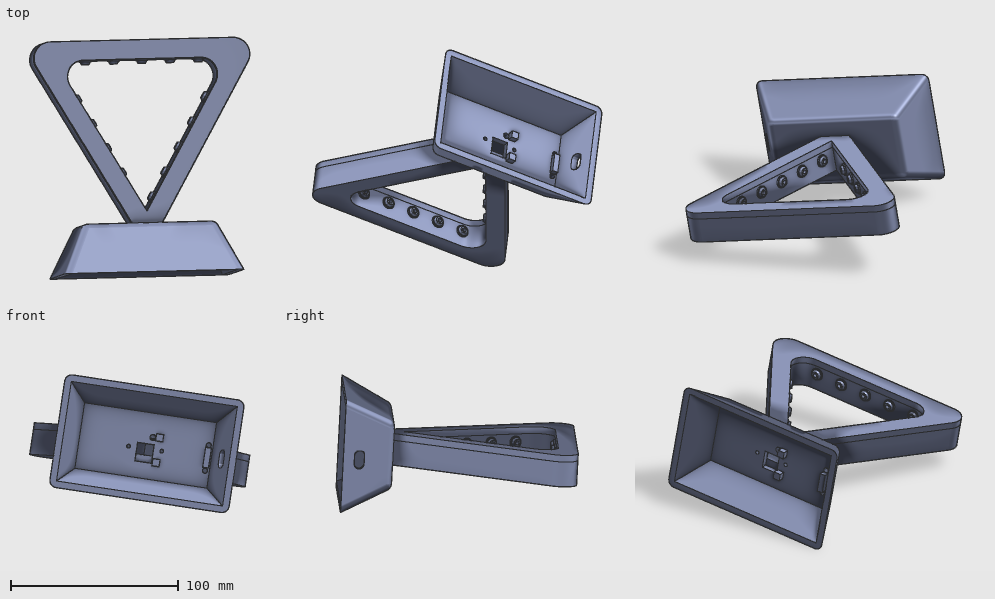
import cadquery as cq
import math


TILT_X = -2.742
TILT_Y = 8.569
TILT_Z = 1.451

RIM_LENGTH = 108.0
RIM_HEIGHT = 68.0
RIM_WIDTH = 4.0
BASE_DEPTH = 30.0
CAVITY_DEPTH = 22.0
WALL_TAPER = 25.0
BASE_FILLET = 5.0
FLOOR_THICKNESS = BASE_DEPTH - CAVITY_DEPTH

FITTING_Z = -1.85
PEG_SIZE = 4.3
PEG_HEIGHT = 4.0
PEG_X = 7.5
PEG_OFFSET_Z = 7.5
PILOT_DIAMETER = 2.2
PILOT_X = 10.0
BAR_X = 37.15
BAR_WIDTH = 3.5
BAR_LENGTH = 12.0
BAR_HEIGHT = 3.3
BAR_HOLE_DIAMETER = 3.0
BAR_HOLE_OFFSET_Z = 7.65
BLIND_HOLE_DEPTH = 4.0
ROOT_OVERLAP = 1.0
WINDOW_WIDTH = 10.0
WINDOW_BOTTOM_Z = -9.9
WINDOW_TOP_Z = 1.2
WIRE_HOLE_DIAMETER = 3.5
WIRE_HOLE_X = 3.6
WIRE_HOLE_Z = 5.5

PORT_LENGTH = 11.0
PORT_WIDTH = 6.0
PORT_Y = 9.7

RING_CENTRE_Y = 97.82
INNER_INRADIUS = 30.3
RING_WIDTH = 11.41
OUTER_INRADIUS = INNER_INRADIUS + RING_WIDTH
CORNER_RADIUS = 10.0
FRAME_BOTTOM_Z = -10.0
FRAME_TOP_Z = 5.0
LID_THICKNESS = 4.0
LID_TOP_Z = FRAME_TOP_Z + LID_THICKNESS
OUTER_WALL = 1.5
INNER_WALL = 2.5
CHANNEL_FLOOR = 4.5
SEAT_DEPTH = 4.0
FRONT_END_Y = BASE_DEPTH - SEAT_DEPTH

NOZZLE_PITCH = 17.0
NOZZLE_Z = 0.0
NOZZLE_BASE_RADIUS = 3.8
NOZZLE_FLANGE_RADIUS = 3.5
NOZZLE_FLANGE_HEIGHT = 0.8
NOZZLE_NECK_RADIUS = 3.1
NOZZLE_TIP_RADIUS = 2.2
NOZZLE_HEIGHT = 2.4
NOZZLE_BORE_RADIUS = 1.2
BACK_NOZZLE_SHIFT = 1.0
LEG_NOZZLE_SHIFT = 8.5


def facing_back(y):
    """Workplane at depth y whose normal is +Y; its local x is -X and local y is +Z."""
    return cq.Workplane(cq.Plane(origin=(0, y, 0), xDir=(-1, 0, 0), normal=(0, 1, 0)))


def tray_box(x, z, width, height, y_start, y_end):
    return cq.Workplane("XY").box(width, y_end - y_start, height).translate((x, (y_start + y_end) / 2, z))


def tray_bore(x, z, diameter, depth):
    return facing_back(CAVITY_DEPTH).center(-x, z).circle(diameter / 2).extrude(depth)


def make_base():
    outer = facing_back(0).rect(RIM_LENGTH, RIM_HEIGHT).extrude(BASE_DEPTH, taper=WALL_TAPER)
    outer = outer.edges("not(<Y)").fillet(BASE_FILLET)
    cavity = (
        facing_back(0)
        .rect(RIM_LENGTH - 2 * RIM_WIDTH, RIM_HEIGHT - 2 * RIM_WIDTH)
        .extrude(CAVITY_DEPTH, taper=WALL_TAPER)
    )
    base = outer.cut(cavity)

    root_y = CAVITY_DEPTH + ROOT_OVERLAP
    for side in (-1, 1):
        peg_z = FITTING_Z + side * PEG_OFFSET_Z
        base = base.union(tray_box(PEG_X, peg_z, PEG_SIZE, PEG_SIZE, CAVITY_DEPTH - PEG_HEIGHT, root_y))
        bar_hole_z = FITTING_Z + side * BAR_HOLE_OFFSET_Z
        base = base.cut(tray_bore(BAR_X, bar_hole_z, BAR_HOLE_DIAMETER, BLIND_HOLE_DEPTH))
        base = base.cut(tray_bore(side * PILOT_X, FITTING_Z, PILOT_DIAMETER, BLIND_HOLE_DEPTH))
    base = base.union(tray_box(BAR_X, FITTING_Z, BAR_WIDTH, BAR_LENGTH, CAVITY_DEPTH - BAR_HEIGHT, root_y))

    window_z = (WINDOW_TOP_Z + WINDOW_BOTTOM_Z) / 2
    window_height = WINDOW_TOP_Z - WINDOW_BOTTOM_Z
    base = base.cut(tray_box(0, window_z, WINDOW_WIDTH, window_height, CAVITY_DEPTH, BASE_DEPTH))
    base = base.cut(tray_bore(WIRE_HOLE_X, WIRE_HOLE_Z, WIRE_HOLE_DIAMETER, FLOOR_THICKNESS))

    port = (
        cq.Workplane("YZ")
        .center(PORT_Y, FITTING_Z)
        .slot2D(PORT_LENGTH, PORT_WIDTH, 90)
        .extrude(RIM_LENGTH / 2)
    )
    seat = triangle_prism(OUTER_INRADIUS, CORNER_RADIUS, FRAME_BOTTOM_Z, LID_TOP_Z)
    seat = seat.intersect(tray_box(0, 0, RIM_LENGTH, RIM_HEIGHT, FRONT_END_Y, BASE_DEPTH))
    return base.cut(port).cut(seat)


def triangle_prism(inradius, corner_radius, z_bottom, z_top):
    """Equilateral prism pointing at the base, with its two back corners rounded."""
    half_side = inradius * math.sqrt(3)
    back_y = RING_CENTRE_Y + inradius
    tip_y = RING_CENTRE_Y - 2 * inradius
    prism = (
        cq.Workplane("XY", origin=(0, 0, z_bottom))
        .polyline([(0, tip_y), (half_side, back_y), (-half_side, back_y)])
        .close()
        .extrude(z_top - z_bottom)
    )
    for corner in ("|Z and >X", "|Z and <X"):
        prism = prism.edges(corner).fillet(corner_radius)
    return prism


def ring(outer_margin, inner_margin, z_bottom, z_top):
    """Triangular ring, narrowed by the two margins and trimmed flat at its seated end."""
    outer = triangle_prism(OUTER_INRADIUS - outer_margin, CORNER_RADIUS - outer_margin, z_bottom, z_top)
    inner = triangle_prism(INNER_INRADIUS + inner_margin, CORNER_RADIUS + inner_margin, z_bottom, z_top)
    kept_side = (
        cq.Workplane("XY")
        .box(4 * OUTER_INRADIUS, 4 * OUTER_INRADIUS, z_top - z_bottom, centered=(True, False, False))
        .translate((0, FRONT_END_Y, z_bottom))
    )
    return outer.cut(inner).intersect(kept_side)


def nozzle_places():
    """Angle of each inner face around the ring centre, and nozzle positions along that face."""
    rows = (
        (0, [step * NOZZLE_PITCH + BACK_NOZZLE_SHIFT for step in (-2, -1, 0, 1, 2)]),
        (-120, [step * NOZZLE_PITCH + LEG_NOZZLE_SHIFT for step in (-2, -1, 0, 1, 2)]),
        (120, [step * NOZZLE_PITCH - LEG_NOZZLE_SHIFT for step in (-1, 0, 1, 2)]),
    )
    return [(angle, along) for angle, places in rows for along in places]


def place_on_inner_face(shape, angle, along):
    """Move a shape built along +Z so that it stands on an inner face, pointing into the opening."""
    return (
        shape.rotate((0, 0, 0), (1, 0, 0), 90)
        .translate((along, INNER_INRADIUS, NOZZLE_Z))
        .rotate((0, 0, 0), (0, 0, 1), angle)
        .translate((0, RING_CENTRE_Y, 0))
    )


def make_frame():
    frame = ring(0, 0, FRAME_BOTTOM_Z, FRAME_TOP_Z)
    frame = frame.cut(ring(OUTER_WALL, INNER_WALL, FRAME_BOTTOM_Z + CHANNEL_FLOOR, FRAME_TOP_Z))

    nozzle = (
        cq.Workplane("XZ")
        .moveTo(0, -ROOT_OVERLAP)
        .lineTo(NOZZLE_BASE_RADIUS, -ROOT_OVERLAP)
        .lineTo(NOZZLE_BASE_RADIUS, 0)
        .lineTo(NOZZLE_FLANGE_RADIUS, NOZZLE_FLANGE_HEIGHT)
        .lineTo(NOZZLE_NECK_RADIUS, NOZZLE_FLANGE_HEIGHT)
        .lineTo(NOZZLE_TIP_RADIUS, NOZZLE_HEIGHT)
        .lineTo(0, NOZZLE_HEIGHT)
        .close()
        .revolve(360, (0, 0, 0), (0, 1, 0))
    )
    bore = (
        cq.Workplane("XY", origin=(0, 0, -INNER_WALL))
        .circle(NOZZLE_BORE_RADIUS)
        .extrude(INNER_WALL + NOZZLE_HEIGHT)
    )
    for angle, along in nozzle_places():
        frame = frame.union(place_on_inner_face(nozzle, angle, along))
    for angle, along in nozzle_places():
        frame = frame.cut(place_on_inner_face(bore, angle, along))
    return frame


def make_lid():
    return ring(0, 0, FRAME_TOP_Z, LID_TOP_Z)


def tilt(body):
    origin = (0, 0, 0)
    body = body.rotate(origin, (1, 0, 0), TILT_X)
    body = body.rotate(origin, (0, 1, 0), TILT_Y)
    return body.rotate(origin, (0, 0, 1), TILT_Z)


base = tilt(make_base())
frame = tilt(make_frame())
lid = tilt(make_lid())

result = cq.Compound.makeCompound([base.val(), frame.val(), lid.val()])